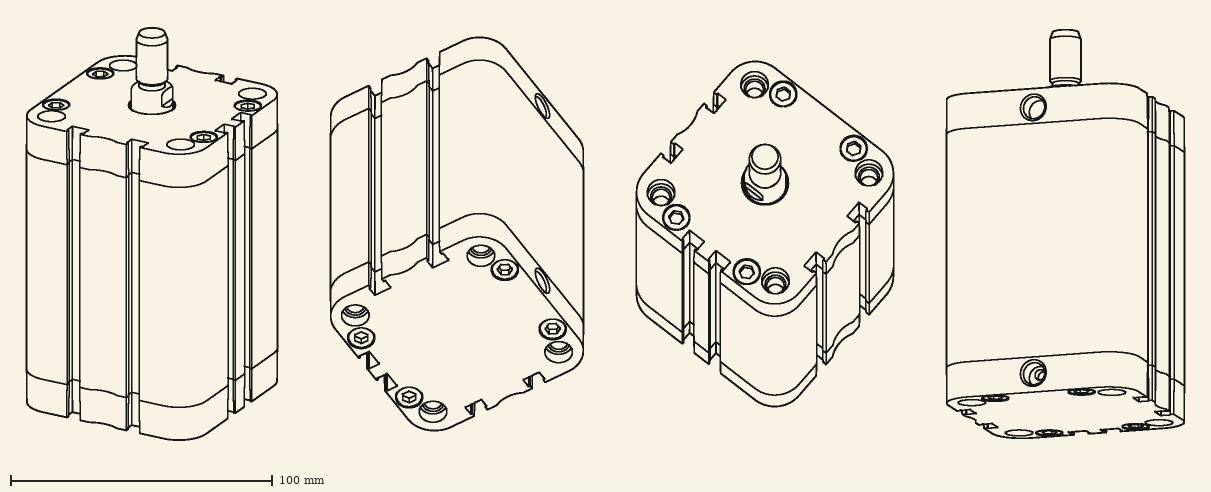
import cadquery as cq
import math

SIDE = 77.0
CORNER_RADIUS = 12.0
BODY_HEIGHT = 119.0
CAP_HEIGHT = 13.75
BARREL_HEIGHT = BODY_HEIGHT - 2 * CAP_HEIGHT
HALF_SIDE = SIDE / 2

SLOT_MOUTH_WIDTH = 5.6
SLOT_WIDTH = 7.0
SLOT_LIP = 1.7
SLOT_DEPTH = 5.5
SLOT_OFFSET = 13.0
SIDE_SLOT_LIP = 0.9
SIDE_SLOT_DEPTH = 5.2
SIDE_SLOT_OFFSET = 6.5

GROOVE_WIDTH = 12.1
GROOVE_DEPTH = 1.5
GROOVE_EDGE_RADIUS = 1.0

CAP_DRAFT_ANGLE = 0.5

MOUNT_OFFSET = 28.25
MOUNT_RECESS_DIAMETER = 10.5
MOUNT_RECESS_DEPTH = 5.0
MOUNT_CHAMFER_DIAMETER = 8.0
MOUNT_DIAMETER = 6.65
MOUNT_DEPTH = CAP_HEIGHT

SCREW_X = 32.3
SCREW_Y = 17.4
SCREW_RECESS_DIAMETER = 10.3
SCREW_HEAD_DIAMETER = 9.8
SCREW_RECESS_DEPTH = 1.0
SCREW_HEAD_DROP = 0.3
SOCKET_ACROSS_FLATS = 5.0
SOCKET_DEPTH = 3.0

PORT_DIAMETER = 8.57
PORT_CHAMFER_DIAMETER = 10.5
PORT_DEPTH = 8.0
PORT_DROP = 7.4
PASSAGE_DIAMETER = 4.0
PASSAGE_RISE = 1.0
PASSAGE_DEPTH = 4.0

ROD_DIAMETER = 16.0
COLLAR_HEIGHT = 8.0
COLLAR_RADIUS = 1.5
UNDERCUT_DIAMETER = 10.0
UNDERCUT_HEIGHT = 2.0
THREAD_DIAMETER = 12.0
THREAD_TOP_DIAMETER = 10.0
THREAD_TOP_CHAMFER = 2.8
THREAD_LENGTH = 22.0
FLATS_WIDTH = 13.4
FLATS_LENGTH = 5.5

LIP_DIAMETER = 18.0
SCRAPER_DIAMETER = 17.7
SCRAPER_DEPTH = 1.0
CLEARANCE_DIAMETER = 16.54
CLEARANCE_DEPTH = 3.0


def slot_cutter(lip, depth, height):
    """T-shaped slot that opens toward +Y at y = 0."""
    mouth = cq.Workplane().box(SLOT_MOUTH_WIDTH, 2 * lip, height, centered=(True, True, False))
    channel = cq.Workplane().box(SLOT_WIDTH, depth - lip, height, centered=(True, False, False))
    return mouth.union(channel.translate((0, -depth, 0)))


def profile_block(height):
    """Rounded square with the slots and grooves shared by the barrel and the caps."""
    block = cq.Workplane().rect(SIDE, SIDE).extrude(height).edges("|Z").fillet(CORNER_RADIUS)
    groove = (
        cq.Workplane()
        .moveTo(-GROOVE_WIDTH / 2, HALF_SIDE)
        .threePointArc((0, HALF_SIDE - GROOVE_DEPTH), (GROOVE_WIDTH / 2, HALF_SIDE))
        .close()
        .extrude(height)
    )
    block = block.cut(groove).cut(groove.mirror("XZ"))
    groove_edges = cq.selectors.BoxSelector(
        (-GROOVE_WIDTH, -SIDE, 0),
        (GROOVE_WIDTH, SIDE, height),
    )
    block = block.edges("|Z").edges(groove_edges).fillet(GROOVE_EDGE_RADIUS)
    slot = slot_cutter(SLOT_LIP, SLOT_DEPTH, height)
    for x in (-SLOT_OFFSET, SLOT_OFFSET):
        placed = slot.translate((x, HALF_SIDE, 0))
        block = block.cut(placed).cut(placed.mirror("XZ"))
    side_slot = slot_cutter(SIDE_SLOT_LIP, SIDE_SLOT_DEPTH, height)
    for y in (-SIDE_SLOT_OFFSET, SIDE_SLOT_OFFSET):
        placed = side_slot.rotate((0, 0, 0), (0, 0, 1), -90).translate((HALF_SIDE, y, 0))
        block = block.cut(placed)
    return block


def revolved(points):
    """Solid of revolution about Z from (radius, z) points."""
    return cq.Workplane("XZ").polyline(points).close().revolve(360, (0, 0), (0, 1))


def mount_hole_cutter():
    """Recessed, countersunk hole going down from z = 0."""
    recess = MOUNT_RECESS_DIAMETER / 2
    rim = MOUNT_CHAMFER_DIAMETER / 2
    bore = MOUNT_DIAMETER / 2
    return revolved([
        (0, 0),
        (recess, 0),
        (recess, -MOUNT_RECESS_DEPTH),
        (rim, -MOUNT_RECESS_DEPTH),
        (bore, -MOUNT_RECESS_DEPTH - (rim - bore)),
        (bore, -MOUNT_DEPTH),
        (0, -MOUNT_DEPTH),
    ])


def screw_cutter(socket_turn):
    """Space around and above a socket-head screw, with the hexagon socket."""
    recess = cq.Workplane().circle(SCREW_RECESS_DIAMETER / 2).extrude(-SCREW_RECESS_DEPTH)
    head = (
        cq.Workplane()
        .workplane(offset=-SCREW_HEAD_DROP)
        .circle(SCREW_HEAD_DIAMETER / 2)
        .extrude(SCREW_HEAD_DROP - SCREW_RECESS_DEPTH)
    )
    socket_across_corners = SOCKET_ACROSS_FLATS / math.cos(math.pi / 6)
    socket = cq.Workplane().polygon(6, socket_across_corners).extrude(-SOCKET_DEPTH)
    return recess.cut(head).union(socket.rotate((0, 0, 0), (0, 0, 1), socket_turn))


def port_cutter():
    """Countersunk blind port going from z = 0 toward +Z."""
    rim = PORT_CHAMFER_DIAMETER / 2
    bore = PORT_DIAMETER / 2
    return revolved([(0, 0), (rim, 0), (bore, rim - bore), (bore, PORT_DEPTH), (0, PORT_DEPTH)])


def make_cap():
    """End cap with its outer face at z = CAP_HEIGHT and its inner face at z = 0."""
    outline = profile_block(CAP_HEIGHT).faces("<Z").wires().val()
    cap = cq.Workplane().add(outline).toPending().extrude(CAP_HEIGHT, taper=CAP_DRAFT_ANGLE)
    mount = mount_hole_cutter()
    for x in (-MOUNT_OFFSET, MOUNT_OFFSET):
        for y in (-MOUNT_OFFSET, MOUNT_OFFSET):
            cap = cap.cut(mount.translate((x, y, CAP_HEIGHT)))
    for x, socket_turn in ((-SCREW_X, 30), (SCREW_X, 0)):
        for y in (-SCREW_Y, SCREW_Y):
            cap = cap.cut(screw_cutter(socket_turn).translate((x, y, CAP_HEIGHT)))
    port = port_cutter().rotate((0, 0, 0), (0, 1, 0), 90)
    return cap.cut(port.translate((-HALF_SIDE, 0, CAP_HEIGHT - PORT_DROP)))


def make_front_cap():
    """Upper cap, bored for the rod with a wider seal recess at the top."""
    bearing = ROD_DIAMETER / 2
    clearance = CLEARANCE_DIAMETER / 2
    scraper = SCRAPER_DIAMETER / 2
    lip = LIP_DIAMETER / 2
    opening = revolved([
        (0, 0),
        (bearing, 0),
        (bearing, CAP_HEIGHT - CLEARANCE_DEPTH),
        (clearance, CAP_HEIGHT - CLEARANCE_DEPTH),
        (clearance, CAP_HEIGHT - SCRAPER_DEPTH),
        (scraper, CAP_HEIGHT - SCRAPER_DEPTH),
        (scraper, CAP_HEIGHT - (lip - scraper)),
        (lip, CAP_HEIGHT),
        (0, CAP_HEIGHT),
    ])
    return make_cap().cut(opening).translate((0, 0, BODY_HEIGHT - CAP_HEIGHT))


def make_rear_cap():
    """Lower cap, a mirrored cap with a small air passage behind its port."""
    cap = make_cap().mirror("XY").translate((0, 0, CAP_HEIGHT))
    passage = (
        cq.Workplane("YZ")
        .center(0, PORT_DROP + PASSAGE_RISE)
        .circle(PASSAGE_DIAMETER / 2)
        .extrude(PORT_DEPTH + PASSAGE_DEPTH)
    )
    return cap.cut(passage.translate((-HALF_SIDE, 0, 0)))


def make_barrel():
    """Plain extruded barrel between the caps."""
    return profile_block(BARREL_HEIGHT).translate((0, 0, CAP_HEIGHT))


def make_rod():
    """Piston rod with a flatted collar, an undercut and a plain thread cylinder."""
    rod = ROD_DIAMETER / 2
    undercut = UNDERCUT_DIAMETER / 2
    thread = THREAD_DIAMETER / 2
    collar_top = BODY_HEIGHT + COLLAR_HEIGHT
    thread_start = collar_top + UNDERCUT_HEIGHT
    rod_end = collar_top + THREAD_LENGTH
    body = revolved([
        (0, BODY_HEIGHT - CAP_HEIGHT),
        (rod, BODY_HEIGHT - CAP_HEIGHT),
        (rod, collar_top),
        (undercut, collar_top),
        (undercut, thread_start),
        (thread, thread_start + thread - undercut),
        (thread, rod_end - THREAD_TOP_CHAMFER),
        (THREAD_TOP_DIAMETER / 2, rod_end),
        (0, rod_end),
    ])
    collar_edge = cq.selectors.RadiusNthSelector(-1)
    body = body.faces(">Z[-2]").edges(collar_edge).fillet(COLLAR_RADIUS)
    flat = FLATS_WIDTH / 2
    runout = rod - flat
    flat_bottom = collar_top - FLATS_LENGTH
    flat_cutter = (
        cq.Workplane("XZ")
        .polyline([(flat, collar_top), (flat, flat_bottom), (rod, flat_bottom - runout), (rod, collar_top)])
        .close()
        .extrude(ROD_DIAMETER / 2, both=True)
    )
    return body.cut(flat_cutter).cut(flat_cutter.mirror("YZ"))


front_cap = make_front_cap()
barrel = make_barrel()
rear_cap = make_rear_cap()
rod = make_rod()

result = cq.Compound.makeCompound([front_cap.val(), barrel.val(), rear_cap.val(), rod.val()])